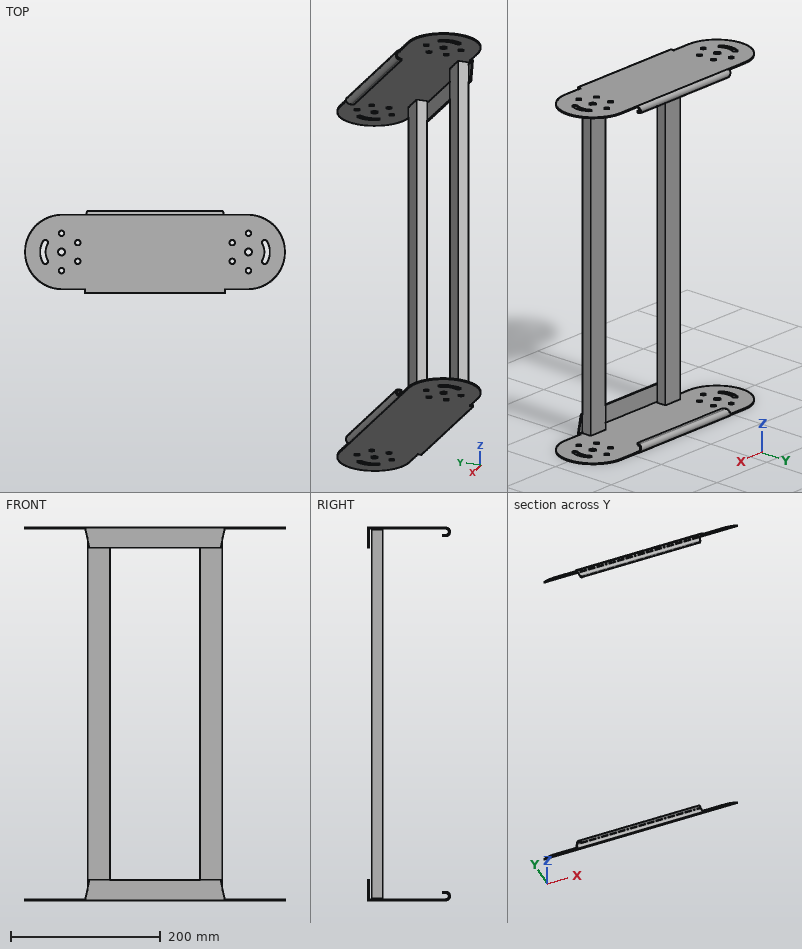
import cadquery as cq
import math

total_length = 348.0
total_height = 499.0
sheet = 2.0

plate_width = 100.0
plate_edge = plate_width / 2

pattern_x = 125.0
pattern_radius = 25.0
pivot_diameter = 9.0
small_diameter = 7.0
slot_width = 7.0
slot_half_angle = 30.0
small_hole_angles = (30, 90, -30, -90)

flange_front = -55.0
flange_height = 27.5
flange_base_length = 187.5
flange_end_taper = 0.22
flange_tip_inset = flange_end_taper * flange_height

curl_back = 55.0
curl_outer_radius = 6.0
curl_inner_radius = curl_outer_radius - sheet
curl_axis_y = curl_back - curl_outer_radius
curl_base_length = 184.0
curl_end_taper = 0.3
curl_lip = 4.0
curl_depth = 2 * curl_outer_radius
curl_arc_length = math.pi * (curl_outer_radius + curl_inner_radius) / 2
curl_tip_inset = curl_end_taper * curl_arc_length

post_width = 30.0
post_depth = 15.0
post_spread = 180.0
post_gap = 0.5
post_height = total_height - 2 * (sheet + post_gap)


def end_trimmer(base_length, depth, inset):
    """Long trapezoid along Y, each end stepping in by `inset` over `depth` below the outer face."""
    half_base = base_length / 2
    half_tip = half_base - inset
    outline = [(-half_base, 0), (half_base, 0), (half_tip, -depth), (-half_tip, -depth)]
    return cq.Workplane("XZ").polyline(outline).close().extrude(plate_width, both=True)


def flat_plate():
    return cq.Workplane("XY").slot2D(total_length, plate_width).extrude(-sheet)


def front_flange():
    """Upright flange with a short flat root that laps into the plate."""
    root = -plate_edge + sheet
    back = flange_front + sheet
    profile = (
        cq.Workplane("YZ")
        .moveTo(root, 0)
        .lineTo(flange_front, 0)
        .lineTo(flange_front, -flange_height)
        .lineTo(back, -flange_height)
        .lineTo(back, -sheet)
        .lineTo(root, -sheet)
        .close()
    )
    strip = profile.extrude(flange_base_length / 2, both=True)
    return strip.intersect(end_trimmer(flange_base_length, flange_height, flange_tip_inset))


def rear_curl():
    """Half-round roll under the rear edge, ending in a flat lip."""
    profile = (
        cq.Workplane("YZ")
        .moveTo(curl_axis_y, 0)
        .threePointArc((curl_back, -curl_outer_radius), (curl_axis_y, -curl_depth))
        .lineTo(curl_axis_y, -curl_depth + sheet)
        .threePointArc((curl_back - sheet, -curl_outer_radius), (curl_axis_y, -sheet))
        .close()
    )
    strip = profile.extrude(curl_base_length / 2, both=True)
    roll = strip.intersect(end_trimmer(curl_base_length, curl_depth, curl_tip_inset))
    return roll.union(curl_end_lip())


def curl_end_lip():
    """Flat lip that carries the curl's end taper on toward its free edge."""
    half_root = curl_base_length / 2 - curl_tip_inset
    half_tip = half_root - curl_end_taper * curl_lip
    tip_y = curl_axis_y - curl_lip
    outline = [(-half_root, curl_axis_y), (half_root, curl_axis_y), (half_tip, tip_y), (-half_tip, tip_y)]
    return (
        cq.Workplane("XY")
        .workplane(offset=-curl_depth)
        .polyline(outline)
        .close()
        .extrude(sheet)
    )


def polar(radius, angle):
    return radius * math.cos(math.radians(angle)), radius * math.sin(math.radians(angle))


def end_hole_pattern():
    """Cutter for the holes at the +X end: the slot faces outward, the small holes inward."""
    cut_depth = -2 * sheet
    inner = pattern_radius - slot_width / 2
    outer = pattern_radius + slot_width / 2
    pivot = cq.Workplane("XY").circle(pivot_diameter / 2).extrude(cut_depth)
    small_places = [polar(pattern_radius, 180 - angle) for angle in small_hole_angles]
    small = cq.Workplane("XY").pushPoints(small_places).circle(small_diameter / 2).extrude(cut_depth)
    slot = (
        cq.Workplane("XY")
        .moveTo(*polar(outer, -slot_half_angle))
        .threePointArc((outer, 0), polar(outer, slot_half_angle))
        .radiusArc(polar(inner, slot_half_angle), -slot_width / 2)
        .threePointArc((inner, 0), polar(inner, -slot_half_angle))
        .radiusArc(polar(outer, -slot_half_angle), -slot_width / 2)
        .close()
        .extrude(cut_depth)
    )
    return pivot.union(small).union(slot).translate((pattern_x, 0, sheet / 2))


def end_bracket():
    """Bracket with its outer face at Z = 0, flange and curl pointing down."""
    holes = end_hole_pattern()
    return (
        flat_plate()
        .union(front_flange())
        .union(rear_curl())
        .cut(holes)
        .cut(holes.mirror("YZ"))
    )


def post(side):
    """Solid bar at the -X (side = -1) or +X (side = 1) end, flush with the plate's front edge."""
    center_x = side * (post_spread - post_width) / 2
    center_y = -plate_edge + post_depth / 2
    return cq.Workplane("XY").box(post_width, post_depth, post_height).translate((center_x, center_y, 0))


top_bracket = end_bracket().translate((0, 0, total_height / 2))
bottom_bracket = top_bracket.mirror("XY")
posts = [post(side) for side in (-1, 1)]

result = cq.Compound.makeCompound(
    [top_bracket.val(), bottom_bracket.val(), *[p.val() for p in posts]]
)